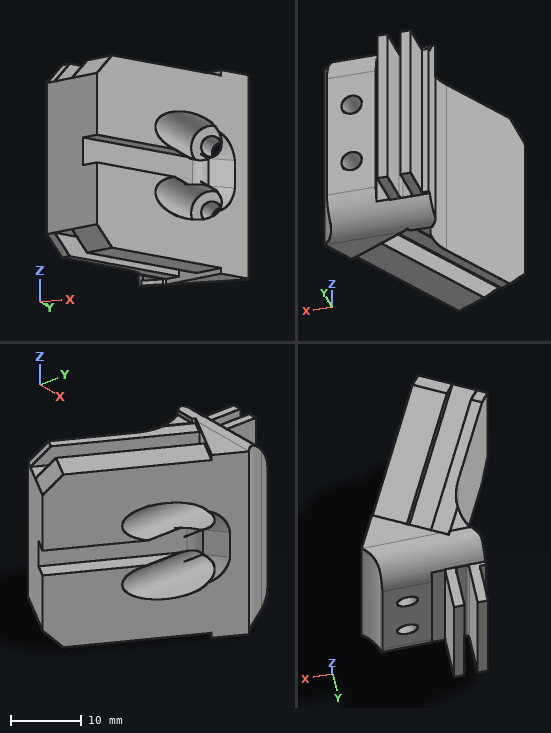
import cadquery as cq
import math


total_length = 36.97

height = 29.5
head_width = 15.12
head_depth = 5.0
fillet_margin = 0.005
head_tip_x = 17.08
flare_start_y = -1.15

arm_angle = math.radians(27.9)
arm_thickness = 10.28
ledge_depth = 0.8
ledge_length = 24.5
ledge_width = 11.3
corner_ledge_depth = 0.7
groove_offset = 5.1
groove_width = 3.55
end_chamfer = 3.0
groove_depth = end_chamfer

hollow_radius = 7.7
hollow_end_y = -12.7
hollow_blend_radius = 1.92

tongue_length = 5.5
tongue_height = 23.95
tongue_width = 1.5
tongue_starts = (0.95, 4.4)
recess_end_x = 7.87
recess_depth = 0.48
tongue_embed = 0.95
tongue_root_radius = 0.4

screw_x = 11.45
screw_z = 4.75
screw_diameter = 3.0
counterbore_diameter = 6.0
counterbore_floor_y = -5.0
slot_width = 4.0
slot_depth = 2.8
bend_start_x = 10.65
bend_end_x = 12.68
mouth_x = 15.8
fan_mid = (2.5, 2.6)
fan_end = (1.22, 3.92)
fan_tip_scale = 0.02
fan_overshoot = 1.05

sin_a = math.sin(arm_angle)
cos_a = math.cos(arm_angle)
half_height = height / 2
arm_half_height = half_height - ledge_depth
clearance = 3.7
arm_length = (total_length - tongue_length - head_depth) / cos_a
end_x = head_tip_x - arm_length * sin_a
end_y = -head_depth - arm_length * cos_a


def arm_point(along, across):
    """XY point measured from the arm's outer end corner: along the arm, then across it."""
    return (end_x + along * sin_a - across * cos_a, end_y + along * cos_a + across * sin_a)


def outer_face_y(x):
    return -head_depth + (x - head_tip_x) / math.tan(arm_angle)


def prism(points, bottom, top):
    return cq.Workplane("XY").workplane(offset=bottom).polyline(points).close().extrude(top - bottom)


def arm_block(along_start, along_end, across_start, across_end, bottom, top):
    """Block aligned with the arm."""
    corners = [
        arm_point(along_start, across_start),
        arm_point(along_end, across_start),
        arm_point(along_end, across_end),
        arm_point(along_start, across_end),
    ]
    return prism(corners, bottom, top)


def both_sides(solid):
    """The solid together with its mirror image below mid-height."""
    return solid.union(solid.mirror("XY"))


def make_body():
    inner_end = arm_point(0, arm_thickness)
    hollow_end = (inner_end[0] + (hollow_end_y - inner_end[1]) * math.tan(arm_angle), hollow_end_y)
    center_x = hollow_end[0] - hollow_radius * cos_a
    center_y = hollow_end[1] + hollow_radius * sin_a
    reach = hollow_radius + hollow_blend_radius
    blend_x = hollow_blend_radius
    blend_y = center_y + math.sqrt(reach**2 - (blend_x - center_x) ** 2)
    blend_angle = math.atan2(blend_y - center_y, blend_x - center_x)

    def on_hollow(angle):
        return (center_x + hollow_radius * math.cos(angle), center_y + hollow_radius * math.sin(angle))

    blend_mid_angle = math.pi + blend_angle / 2
    blend_mid = (
        blend_x + hollow_blend_radius * math.cos(blend_mid_angle),
        blend_y + hollow_blend_radius * math.sin(blend_mid_angle),
    )
    outline = (
        cq.Workplane("XY")
        .workplane(offset=-half_height)
        .moveTo(0, 0)
        .lineTo(head_width, 0)
        .lineTo(head_width, flare_start_y)
        .tangentArcPoint((head_tip_x, -head_depth), relative=False)
        .lineTo(end_x, end_y)
        .lineTo(*inner_end)
        .lineTo(*hollow_end)
        .threePointArc(on_hollow((blend_angle - arm_angle) / 2), on_hollow(blend_angle))
        .threePointArc(blend_mid, (0, blend_y))
        .close()
        .extrude(height)
    )
    return outline.faces(">Y").edges("|X").fillet(head_depth - fillet_margin)


def lower_arm(body):
    """Drop the arm and the small corner beside the hollow below the head's top and bottom."""
    ledge = arm_block(-clearance, ledge_length, -clearance, ledge_width, arm_half_height, half_height)
    corner_points = [
        (-clearance, -head_depth),
        (head_tip_x / 2, -head_depth),
        arm_point(0, ledge_width / 2),
        arm_point(0, ledge_width + clearance),
    ]
    corner = prism(corner_points, half_height - corner_ledge_depth, half_height)
    past_ledge = arm_block(
        ledge_length, arm_length + clearance, -clearance, ledge_width, 0, half_height + clearance
    )
    return body.cut(both_sides(ledge)).cut(both_sides(corner.cut(past_ledge)))


def cut_arm_grooves(body):
    groove = arm_block(
        -clearance, ledge_length, groove_offset, groove_offset + groove_width,
        arm_half_height - groove_depth, half_height,
    )
    return body.cut(both_sides(groove))


def chamfer_arm_end(body):
    end_plane = cq.Plane(
        origin=(end_x, end_y, 0), xDir=(sin_a, cos_a, 0), normal=(-cos_a, sin_a, 0)
    )
    wedge = (
        cq.Workplane(end_plane)
        .moveTo(0, arm_half_height - end_chamfer)
        .lineTo(end_chamfer, arm_half_height)
        .lineTo(0, arm_half_height)
        .close()
        .extrude(arm_thickness)
    )
    return body.cut(both_sides(wedge))


def block(x_start, x_end, y_start, y_end, box_height):
    return cq.Workplane("XY").box(
        x_end - x_start, y_end - y_start, box_height, centered=(False, False, True)
    ).translate((x_start, y_start, 0))


def add_tongues(body):
    first, second = tongue_starts
    body = body.cut(block(first, recess_end_x, -recess_depth, clearance, height))
    lip = block(0, first, -tongue_embed, 0, tongue_height)
    fork = block(first, second + tongue_width, -tongue_embed, tongue_length, tongue_height)
    gap = block(first + tongue_width, second, -recess_depth, tongue_length + clearance, tongue_height)
    gap = gap.faces("<Y").edges("|Z").fillet(tongue_root_radius)
    return body.union(lip).union(fork.cut(gap))


def cut_screw_holes(body):
    def bore(diameter, back_y):
        return (
            cq.Workplane("XZ", origin=(0, back_y, 0))
            .pushPoints([(screw_x, screw_z), (screw_x, -screw_z)])
            .circle(diameter / 2)
            .extrude(back_y - end_y)
        )

    return body.cut(bore(screw_diameter, clearance)).cut(bore(counterbore_diameter, counterbore_floor_y))


def cut_cable_slot(body):
    bend_start_y = outer_face_y(bend_start_x) + slot_depth / sin_a
    bend_radius = (bend_end_x - bend_start_x) / cos_a
    bend_end_y = bend_start_y + bend_radius * (1 - sin_a)
    half_angle = (math.pi / 2 + arm_angle) / 2
    bend_mid = (
        bend_end_x - bend_radius * math.cos(half_angle),
        bend_end_y - bend_radius * (1 - math.sin(half_angle)),
    )
    channel = (
        cq.Workplane("XY")
        .workplane(offset=-slot_width / 2)
        .moveTo(*arm_point(-clearance, slot_depth))
        .lineTo(bend_start_x, bend_start_y)
        .threePointArc(bend_mid, (bend_end_x, bend_end_y))
        .lineTo(mouth_x, outer_face_y(mouth_x))
        .lineTo(*arm_point(-clearance, 0))
        .close()
        .extrude(slot_width)
    )

    def rim_point(x, z):
        return cq.Vector(x, outer_face_y(bend_end_x + x) - bend_end_y, z)

    corner = rim_point(0, 0)
    rim_start = rim_point(mouth_x - bend_end_x, 0)
    rim_end = rim_point(*fan_end)
    rim = cq.Wire.assembleEdges([
        cq.Edge.makeLine(corner, rim_start),
        cq.Edge.makeThreePointArc(rim_start, rim_point(*fan_mid), rim_end),
        cq.Edge.makeLine(rim_end, corner),
    ])
    fan_solid = cq.Solid.makeLoft([rim.scale(fan_tip_scale), rim.scale(fan_overshoot)], True)
    fan = cq.Workplane(fan_solid).translate((bend_end_x, bend_end_y, slot_width / 2))
    return body.cut(channel).cut(both_sides(fan))


result = make_body()
result = lower_arm(result)
result = cut_arm_grooves(result)
result = chamfer_arm_end(result)
result = add_tongues(result)
result = cut_screw_holes(result)
result = cut_cable_slot(result)